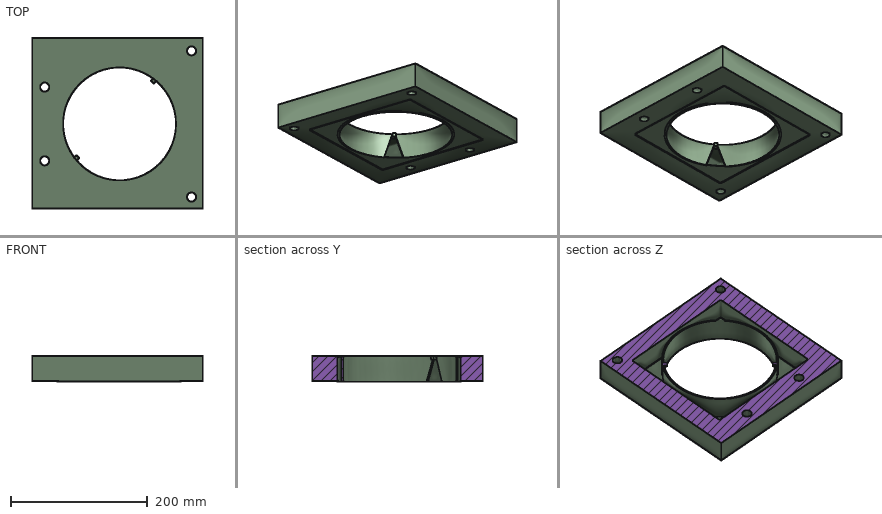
import cadquery as cq
import math

PLATE_SIDE = 250.0
TOTAL_HEIGHT = 37.9
LID_THICKNESS = 0.9
PLATE_THICKNESS = TOTAL_HEIGHT - LID_THICKNESS

BORE_DIAMETER = 165.0
BORE_RADIUS = BORE_DIAMETER / 2
BORE_X = 3.0
BORE_Y = -0.8
BORE_WALL = 3.0

CAVITY_X_LENGTH = 180.5
CAVITY_Y_LENGTH = 183.5
CAVITY_CENTRE_X = 2.3
CAVITY_CENTRE_Y = -0.5
CAVITY_EDGE_RADIUS = 2.0
TOP_SKIN = 1.5
CAVITY_TOP = TOTAL_HEIGHT - TOP_SKIN
CAVITY_DEPTH = CAVITY_TOP - LID_THICKNESS

MOUNTING_DIAMETER = 13.0
MOUNTING_HALF_SPACING_X = 107.5
MOUNTING_CENTRE_X = 0.9
MOUNTING_CENTRE_Y = -0.9
WIDE_PAIR_SPACING = 214.0
NARROW_PAIR_SPACING = 108.0

PIN_DIAMETER = 6.0
PIN_RADIUS = PIN_DIAMETER / 2
PIN_PROTRUSION = 5.0
PIN_LINE_ANGLE = 45.0
PIN_LINE_OFFSET = 9.2
PIN_AXIS_Z = TOTAL_HEIGHT - PIN_RADIUS
PIN_BORE_CROSSING = math.sqrt(BORE_RADIUS**2 - PIN_LINE_OFFSET**2)
PIN_TIP = PIN_BORE_CROSSING - PIN_PROTRUSION
PIN_LENGTH = PIN_PROTRUSION + BORE_WALL

WINDOW_BASE_WIDTH = 28.0
WINDOW_TOP_WIDTH = PIN_DIAMETER
WINDOW_TOP_Z = PIN_AXIS_Z
WINDOW_LENGTH = 18.0


def make_plate():
    return (
        cq.Workplane("XY", origin=(0, 0, LID_THICKNESS))
        .rect(PLATE_SIDE, PLATE_SIDE)
        .extrude(PLATE_THICKNESS)
    )


def make_lid():
    """Thin cover under the cavity, level with the plate's underside on its upper face."""
    return (
        cq.Workplane("XY", origin=(CAVITY_CENTRE_X, CAVITY_CENTRE_Y, 0))
        .rect(CAVITY_X_LENGTH, CAVITY_Y_LENGTH)
        .extrude(LID_THICKNESS)
        .edges("|Z")
        .fillet(CAVITY_EDGE_RADIUS)
    )


def bore_cylinder(radius):
    return cq.Workplane("XY", origin=(BORE_X, BORE_Y, 0)).circle(radius).extrude(TOTAL_HEIGHT)


def make_cavity():
    """Rounded box less the wall that is left standing around the bore."""
    box = (
        cq.Workplane("XY", origin=(CAVITY_CENTRE_X, CAVITY_CENTRE_Y, LID_THICKNESS))
        .rect(CAVITY_X_LENGTH, CAVITY_Y_LENGTH)
        .extrude(CAVITY_DEPTH)
        .edges()
        .fillet(CAVITY_EDGE_RADIUS)
    )
    return box.cut(bore_cylinder(BORE_RADIUS + BORE_WALL))


def make_mounting_holes():
    points = []
    for side, spacing in ((1, WIDE_PAIR_SPACING), (-1, NARROW_PAIR_SPACING)):
        for end in (1, -1):
            x = MOUNTING_CENTRE_X + side * MOUNTING_HALF_SPACING_X
            y = MOUNTING_CENTRE_Y + end * spacing / 2
            points.append((x, y))
    return cq.Workplane("XY").pushPoints(points).circle(MOUNTING_DIAMETER / 2).extrude(TOTAL_HEIGHT)


def pin_workplane(end):
    """Plane at a pin's tip: local Y is up, the normal points outward along the pin line."""
    angle = math.radians(PIN_LINE_ANGLE)
    along = cq.Vector(math.cos(angle), math.sin(angle), 0)
    left = cq.Vector(-along.y, along.x, 0)
    origin = cq.Vector(BORE_X, BORE_Y, 0) + left * PIN_LINE_OFFSET + along * (end * PIN_TIP)
    return cq.Workplane(cq.Plane(origin=origin, xDir=left * end, normal=along * end))


def make_window(end):
    outline = [
        (-WINDOW_BASE_WIDTH / 2, LID_THICKNESS),
        (WINDOW_BASE_WIDTH / 2, LID_THICKNESS),
        (WINDOW_TOP_WIDTH / 2, WINDOW_TOP_Z),
        (-WINDOW_TOP_WIDTH / 2, WINDOW_TOP_Z),
    ]
    return pin_workplane(end).polyline(outline).close().extrude(WINDOW_LENGTH)


def make_pin(end):
    return pin_workplane(end).center(0, PIN_AXIS_Z).circle(PIN_RADIUS).extrude(PIN_LENGTH)


result = make_plate().union(make_lid())
result = result.cut(bore_cylinder(BORE_RADIUS)).cut(make_cavity()).cut(make_mounting_holes())
for end in (1, -1):
    result = result.cut(make_window(end)).union(make_pin(end))